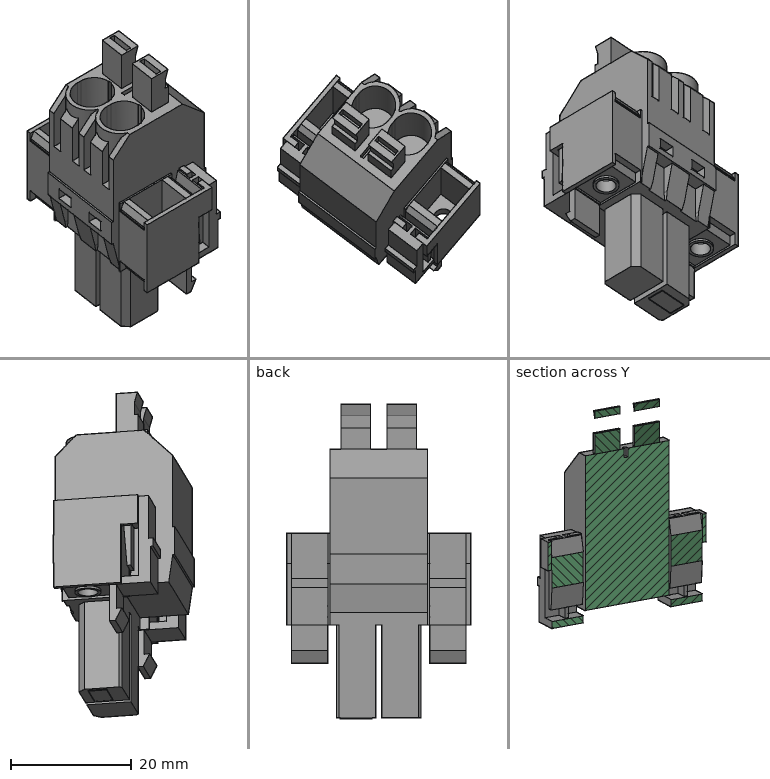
import cadquery as cq

HOUSING_WIDTH = 16.2
HOUSING_TOP = 44.65
HOUSING_FLOOR = 15.55
BACK_FLOOR = 17.6
BODY_HALF_DEPTH = 9.95
BAND_DEPTH = 20.6
BAND_HALF_DEPTH = BAND_DEPTH / 2
BAND_BOTTOM = 22.35
BAND_TOP = 27.3
BACK_CHAMFER = 4.8
FRONT_CHAMFER = 3.6
FRONT_TAPER_END = -8.45
BACK_TAPER_END = 9.3

POLE_PITCH = 7.6
POLE_POSITIONS = [-POLE_PITCH / 2, POLE_PITCH / 2]

WIRE_HOLE_WIDTH = 6.8
WIRE_HOLE_LENGTH = 7.55
WIRE_HOLE_Y = -4.25
GROOVE_WIDTH = 0.75
GROOVE_DEPTH = 0.1
FUNNEL_RADIUS = 3.95
FUNNEL_Y = -4.9
FUNNEL_BOTTOM = 33.7
FUNNEL_RANGE = (FUNNEL_BOTTOM, HOUSING_TOP)
RELIEF_SPAN = 6.35
RELIEF_RIB = 3.0

WINDOW_WIDTH = 3.0
WINDOW_BOTTOM = 23.45
WINDOW_TOP = 25.55
WINDOW_DEPTH = 1.55
RECESS_HALF_WIDTH = 1.7
RECESS_FLARE = 0.2
RECESS_FLARE_HEIGHT = 1.55
RECESS_FACE = -8.1

SLIT_WIDTH = 0.7
SLIT_X = -0.2
SLIT_FRONT = -0.7
SLIT_BACK = 3.85
SLIT_DEPTH = 1.55

POST_WIDTH = 6.5
POST_GAP = 1.0
POST_FRONT = -6.35
POST_BACK = 1.1
POST_FRONT_CHAMFER = 1.15
POST_BACK_CHAMFER = 0.4
PAD_HEIGHT = 0.15
PAD_WIDTH = 5.3
PAD_DEPTH = 3.15
PAD_Y = -3.15

LEVER_WIDTH = 4.9
LEVER_FRONT = 0.0
LEVER_BACK = 3.7
LEVER_TIP_BACK = 3.6
LEVER_TOP = 52.1
GRIP_BACK = 3.1
GRIP_BOTTOM = 48.2
GRIP_TOP = 50.25
TOOL_SLOT_WIDTH = 4.1
TOOL_SLOT_DEPTH = 2.1
TOOL_SLOT_FRONT = 1.35
TOOL_SLOT_BACK = 2.3

FRAME_INNER = HOUSING_WIDTH / 2
FRAME_SPAN = 30.5
FRAME_OUTER = FRAME_SPAN / 2
FRAME_TOP = 30.75
FRAME_FLOOR = HOUSING_FLOOR
FRAME_FRONT = -8.7
INNER_WALL = 0.3
OUTER_WALL = 0.8
CLIP_INNER = FRAME_INNER + INNER_WALL
CLIP_OUTER = FRAME_OUTER - OUTER_WALL
CLIP_X = (CLIP_INNER, CLIP_OUTER)
CLIP_MIDDLE = (CLIP_INNER + CLIP_OUTER) / 2

FRAME_BACK = 5.45
SIDE_CUT_TOP = 25.75
FRONT_WALL_BOTTOM = 17.85
FRONT_WALL_TOP = 29.0

CROSS_WALL_FRONT = 0.4
CROSS_WALL_BACK = 2.6
CROSS_WALL_CHAMFER = 0.95
CLIP_FRONT = -7.55
CAVITY_FRONT = -6.8
CAVITY_FLOOR = FRONT_WALL_BOTTOM

LIP_BACK = -7.85
LIP_FRONT = -8.55
LIP_BEVEL_BOTTOM = 29.45

BOSS_HEIGHT = 0.4
BOSS_DIAMETER = 4.3
SCREW_HOLE_DIAMETER = 3.35
SCREW_Y = -3.7

HOOK_FRONT = 0.55
HOOK_BACK = 1.7
HOOK_TIP = 2.65
HOOK_TOE = 1.55
HOOK_LEDGE = 11.3
HOOK_BOTTOM = 9.15

BACK_PLATE_FACE = 7.15
BACK_PLATE_FOOT = 7.5
CATCH_FACE = 7.95
CATCH_BOTTOM = 21.8
CATCH_TOP = 23.25
FOOT_TOP = 16.85

BRIDGE_FRONT = 4.45
BRIDGE_OPENING = 2.65
WEB_WIDTH = 0.7
WEB_FRONT = 3.6
ARM_BACK = 4.15
ARM_TOP_FRONT = 3.85
ARM_BULGE = 2.9
ARM_BULGE_HEIGHT = 26.6
ARM_TIP_FRONT = 3.55
ARM_TIP = 18.7


def block(x_range, y_range, z_range):
    """Box between the given limits."""
    size = [limits[1] - limits[0] for limits in (x_range, y_range, z_range)]
    corner = (x_range[0], y_range[0], z_range[0])
    return cq.Workplane("XY").box(*size, centered=False).translate(corner)


def side_profile(points, x_range):
    """Closed (Y, Z) outline extruded along X."""
    solid = cq.Workplane("YZ").polyline(points).close().extrude(x_range[1] - x_range[0])
    return solid.translate((x_range[0], 0, 0))


def cylinder(x, y, radius, z_range):
    """Upright cylinder."""
    height = z_range[1] - z_range[0]
    return cq.Workplane("XY").center(x, y).circle(radius).extrude(height).translate((0, 0, z_range[0]))


def span(middle, width):
    """Limits of a width centred on a middle."""
    return (middle - width / 2, middle + width / 2)


def housing_shell():
    """Side outline with its chamfers, raised band and tapered skirt."""
    outline = [
        (BODY_HALF_DEPTH - BACK_CHAMFER, HOUSING_TOP),
        (BODY_HALF_DEPTH, HOUSING_TOP - BACK_CHAMFER),
        (BODY_HALF_DEPTH, BAND_TOP),
        (BAND_HALF_DEPTH, BAND_TOP),
        (BAND_HALF_DEPTH, BAND_BOTTOM),
        (BODY_HALF_DEPTH, BAND_BOTTOM),
        (BACK_TAPER_END, BACK_FLOOR),
        (POST_BACK, BACK_FLOOR),
        (POST_BACK, HOUSING_FLOOR),
        (FRONT_TAPER_END, HOUSING_FLOOR),
        (-BODY_HALF_DEPTH, BAND_BOTTOM),
        (-BAND_HALF_DEPTH, BAND_BOTTOM),
        (-BAND_HALF_DEPTH, BAND_TOP),
        (-BODY_HALF_DEPTH, BAND_TOP),
        (-BODY_HALF_DEPTH, HOUSING_TOP - FRONT_CHAMFER),
        (FRONT_CHAMFER - BODY_HALF_DEPTH, HOUSING_TOP),
    ]
    return side_profile(outline, span(0, HOUSING_WIDTH))


def funnel(x):
    """Round outer wall of a wire entry."""
    return cylinder(x, FUNNEL_Y, FUNNEL_RADIUS, FUNNEL_RANGE)


def wire_hole(x):
    """Wire entry: a slot with round ends and a shallow groove down its back."""
    hole = cq.Workplane("XY").center(x, WIRE_HOLE_Y).slot2D(WIRE_HOLE_LENGTH, WIRE_HOLE_WIDTH, 90)
    hole = hole.extrude(HOUSING_TOP - FUNNEL_BOTTOM).translate((0, 0, FUNNEL_BOTTOM))
    groove_back = WIRE_HOLE_Y + WIRE_HOLE_LENGTH / 2 + GROOVE_DEPTH
    return hole.union(block(span(x, GROOVE_WIDTH), (WIRE_HOLE_Y, groove_back), FUNNEL_RANGE))


def relief_slots(x):
    """Two front slots, one on either side of a rib, that leave room around the funnel."""
    front_half = (-BODY_HALF_DEPTH, FUNNEL_Y)
    slots = block(span(x, RELIEF_SPAN), front_half, FUNNEL_RANGE)
    return slots.cut(block(span(x, RELIEF_RIB), front_half, FUNNEL_RANGE))


def test_window(x):
    """Blind rectangular window in the front of the band."""
    depth_range = (-BAND_HALF_DEPTH, WINDOW_DEPTH - BAND_HALF_DEPTH)
    return block(span(x, WINDOW_WIDTH), depth_range, (WINDOW_BOTTOM, WINDOW_TOP))


def skirt_recess(x):
    """Recess in the tapered front skirt, flared at its lower end."""
    foot_half_width = RECESS_HALF_WIDTH + RECESS_FLARE
    flare_top = HOUSING_FLOOR + RECESS_FLARE_HEIGHT
    outline = [
        (x - foot_half_width, HOUSING_FLOOR),
        (x - RECESS_HALF_WIDTH, flare_top),
        (x - RECESS_HALF_WIDTH, BAND_BOTTOM),
        (x + RECESS_HALF_WIDTH, BAND_BOTTOM),
        (x + RECESS_HALF_WIDTH, flare_top),
        (x + foot_half_width, HOUSING_FLOOR),
    ]
    recess = cq.Workplane("XZ").polyline(outline).close().extrude(BAND_HALF_DEPTH + RECESS_FACE)
    return recess.translate((0, RECESS_FACE, 0))


def plug_post(side):
    """Rectangular post with its two outer edges chamfered; side is -1 or +1."""
    inner = side * POST_GAP / 2
    outer = side * (POST_GAP / 2 + POST_WIDTH)
    outline = [
        (inner, POST_FRONT),
        (outer - side * POST_FRONT_CHAMFER, POST_FRONT),
        (outer, POST_FRONT + POST_FRONT_CHAMFER),
        (outer, POST_BACK - POST_BACK_CHAMFER),
        (outer - side * POST_BACK_CHAMFER, POST_BACK),
        (inner, POST_BACK),
    ]
    post = cq.Workplane("XY").polyline(outline).close().extrude(HOUSING_FLOOR - PAD_HEIGHT)
    return post.translate((0, 0, PAD_HEIGHT))


def side_frame(side):
    """Frame of thin walls that holds a clip beside the housing; side is -1 or +1."""
    full_height = (FRAME_FLOOR, FRAME_TOP)
    inner_wall = block((FRAME_INNER, CLIP_INNER), (FRAME_FRONT, CROSS_WALL_BACK), full_height)
    outer_wall = block((CLIP_OUTER, FRAME_OUTER), (FRAME_FRONT, FRAME_BACK), full_height)
    cut_height = (FRAME_FLOOR, SIDE_CUT_TOP)
    side_cut = block((CLIP_OUTER, FRAME_OUTER), (CROSS_WALL_BACK, FRAME_BACK), cut_height)
    front_height = (FRONT_WALL_BOTTOM, FRONT_WALL_TOP)
    front_wall = block((FRAME_INNER, FRAME_OUTER), (FRAME_FRONT, CLIP_FRONT), front_height)
    bridge_range = ((BRIDGE_FRONT, FRAME_BACK), (SIDE_CUT_TOP, FRAME_TOP))
    bridge = block((FRAME_INNER, FRAME_OUTER), *bridge_range)
    bridge = bridge.cut(block(span(CLIP_MIDDLE, BRIDGE_OPENING), *bridge_range))
    frame = outer_wall.cut(side_cut).union(front_wall).union(inner_wall).union(bridge)
    if side < 0:
        frame = frame.mirror("YZ")
    return frame


def make_housing():
    """Housing with its two poles, plug posts and side frames in one piece."""
    body = housing_shell()
    for x in POLE_POSITIONS:
        body = body.cut(relief_slots(x)).cut(test_window(x)).cut(skirt_recess(x))
    for x in POLE_POSITIONS:
        body = body.union(funnel(x))
    for x in POLE_POSITIONS:
        body = body.cut(wire_hole(x))
    slit_range = (HOUSING_TOP - SLIT_DEPTH, HOUSING_TOP)
    body = body.cut(block(span(SLIT_X, SLIT_WIDTH), (SLIT_FRONT, SLIT_BACK), slit_range))
    for side in (-1, 1):
        body = body.union(plug_post(side)).union(side_frame(side))
    pad_x = (POST_GAP + POST_WIDTH) / 2
    return body.union(block(span(pad_x, PAD_WIDTH), span(PAD_Y, PAD_DEPTH), (0, PAD_HEIGHT)))


def make_lever(x):
    """Release lever standing on the housing, with a finger grip and a tool slot."""
    outline = [
        (LEVER_FRONT, HOUSING_TOP),
        (LEVER_FRONT, LEVER_TOP),
        (LEVER_TIP_BACK, LEVER_TOP),
        (GRIP_BACK, GRIP_TOP),
        (GRIP_BACK, GRIP_BOTTOM),
        (LEVER_BACK, GRIP_BOTTOM),
        (LEVER_BACK, HOUSING_TOP),
    ]
    lever = side_profile(outline, span(x, LEVER_WIDTH))
    slot_range = (LEVER_TOP - TOOL_SLOT_DEPTH, LEVER_TOP)
    return lever.cut(block(span(x, TOOL_SLOT_WIDTH), (TOOL_SLOT_FRONT, TOOL_SLOT_BACK), slot_range))


def clip_body():
    """Open-topped box with a bevelled front lip and a bevelled cross wall."""
    outline = [
        (CLIP_FRONT, FRAME_FLOOR),
        (CROSS_WALL_BACK, FRAME_FLOOR),
        (CROSS_WALL_BACK, FRAME_TOP - CROSS_WALL_CHAMFER),
        (CROSS_WALL_BACK - CROSS_WALL_CHAMFER, FRAME_TOP),
        (LIP_BACK, FRAME_TOP),
        (LIP_FRONT, LIP_BEVEL_BOTTOM),
        (LIP_FRONT, FRONT_WALL_TOP),
        (CLIP_FRONT, FRONT_WALL_TOP),
    ]
    cavity = block(CLIP_X, (CAVITY_FRONT, CROSS_WALL_FRONT), (CAVITY_FLOOR, FRAME_TOP))
    return side_profile(outline, CLIP_X).cut(cavity)


def screw_clearance():
    """Space around the screw boss on the underside."""
    boss_range = (FRAME_FLOOR, FRAME_FLOOR + BOSS_HEIGHT)
    boss = cylinder(CLIP_MIDDLE, SCREW_Y, BOSS_DIAMETER / 2, boss_range)
    return block(CLIP_X, (CLIP_FRONT, CROSS_WALL_FRONT), boss_range).cut(boss)


def screw_hole():
    """Through hole in the clip floor."""
    return cylinder(CLIP_MIDDLE, SCREW_Y, SCREW_HOLE_DIAMETER / 2, (FRAME_FLOOR, CAVITY_FLOOR))


def latch_hook():
    """Hooked tongue hanging below the cross wall."""
    outline = [
        (HOOK_FRONT, FRAME_FLOOR),
        (HOOK_BACK, FRAME_FLOOR),
        (HOOK_BACK, HOOK_LEDGE),
        (HOOK_TIP, HOOK_LEDGE),
        (HOOK_TOE, HOOK_BOTTOM),
        (HOOK_FRONT, HOOK_BOTTOM),
    ]
    return side_profile(outline, CLIP_X)


def back_plate():
    """Rear plate with its catch, and the foot that joins it to the cross wall."""
    outline = [
        (CROSS_WALL_BACK, FRAME_FLOOR),
        (BACK_PLATE_FOOT, FRAME_FLOOR),
        (BACK_PLATE_FOOT, CATCH_BOTTOM),
        (CATCH_FACE, CATCH_BOTTOM),
        (CATCH_FACE, CATCH_TOP),
        (BACK_PLATE_FACE, CATCH_TOP),
        (BACK_PLATE_FACE, FRAME_TOP),
        (FRAME_BACK, FRAME_TOP),
        (FRAME_BACK, FOOT_TOP),
        (CROSS_WALL_BACK, FOOT_TOP),
    ]
    return side_profile(outline, CLIP_X)


def spring_arm():
    """Tapered arm held to the back plate by a thin web."""
    outline = [
        (ARM_BACK, FRAME_TOP),
        (ARM_TOP_FRONT, FRAME_TOP),
        (ARM_BULGE, ARM_BULGE_HEIGHT),
        (ARM_TIP_FRONT, ARM_TIP),
        (ARM_BACK, ARM_TIP),
    ]
    arm = side_profile(outline, CLIP_X)
    web_height = (FOOT_TOP, ARM_BULGE_HEIGHT)
    web = block(span(CLIP_MIDDLE, WEB_WIDTH), (WEB_FRONT, FRAME_BACK), web_height)
    neck_height = (ARM_BULGE_HEIGHT, FRAME_TOP)
    neck = block(span(CLIP_MIDDLE, WEB_WIDTH), (ARM_BACK, FRAME_BACK), neck_height)
    return arm.union(web).union(neck)


def make_clip(side):
    """Screw clip with latches, held in a side frame; side is -1 or +1."""
    clip = clip_body().cut(screw_clearance()).cut(screw_hole())
    for piece in (latch_hook(), back_plate(), spring_arm()):
        clip = clip.union(piece)
    if side < 0:
        clip = clip.mirror("YZ")
    return clip


housing = make_housing()
levers = [make_lever(x) for x in POLE_POSITIONS]
clips = [make_clip(side) for side in (-1, 1)]

result = cq.Compound.makeCompound([
    housing.val(),
    *[lever.val() for lever in levers],
    *[clip.val() for clip in clips],
])